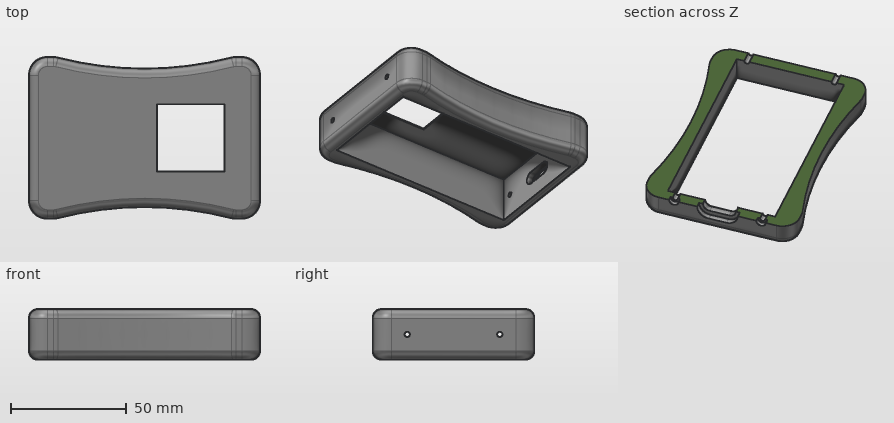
import cadquery as cq
import math

length = 100.0
width = 70.0
height = 22.0
corner_radius = 8.0
rim_radius = 4.0

waist_depth = 5.0
waist_radius = 150.0
waist_blend_radius = 8.0

cavity_length = 89.0
cavity_width = 49.0
top_thickness = 0.5

window_size = 29.0
window_x = 20.0

slot_length = 15.0
slot_height = 6.0
recess_length = 18.5
recess_height = 10.5
recess_depth = 2.5

screw_spacing = 40.0
screw_diameter = 2.2
head_diameter = 4.2
head_depth = 2.0

waist_half_length = math.sqrt(waist_radius**2 - (waist_radius - waist_depth) ** 2)

wall_thickness = (length - cavity_length) / 2


def make_body():
    """Waisted block with rounded corners, blended grips and rounded rims."""
    x = length / 2
    y = width / 2
    waist_y = y - waist_depth
    block = (
        cq.Workplane("XY", origin=(0, 0, -height / 2))
        .moveTo(-x, -y)
        .lineTo(-waist_half_length, -y)
        .threePointArc((0, -waist_y), (waist_half_length, -y))
        .lineTo(x, -y)
        .lineTo(x, y)
        .lineTo(waist_half_length, y)
        .threePointArc((0, waist_y), (-waist_half_length, y))
        .lineTo(-x, y)
        .close()
        .extrude(height)
    )
    block = block.edges("(<X or >X) and |Z").fillet(corner_radius)
    for side in (-1, 1):
        for end in (-1, 1):
            crease = cq.selectors.NearestToPointSelector((end * waist_half_length, side * y, 0))
            block = block.edges(crease).fillet(waist_blend_radius)
    return block.faces("<Z or >Z").edges().fillet(rim_radius)


def make_cavity():
    """Rectangular hollow that leaves only the thin top plate and the walls."""
    bottom = cq.Workplane("XY", origin=(0, 0, -height / 2))
    return bottom.rect(cavity_length, cavity_width).extrude(height - top_thickness)


def make_window():
    """Square opening through the top plate."""
    middle = cq.Workplane("XY", origin=(window_x, 0, 0))
    return middle.rect(window_size, window_size).extrude(height / 2)


def make_connector_slot():
    """Stepped round-ended slot through the -X wall."""
    outside = cq.Workplane("YZ", origin=(-length / 2, 0, 0))
    slot = outside.slot2D(slot_length, slot_height).extrude(wall_thickness)
    recess = outside.slot2D(recess_length, recess_height).extrude(recess_depth)
    return slot.union(recess)


def make_screw_holes():
    """Screw holes running along X, with head counterbores in the -X end face."""
    centres = [(-screw_spacing / 2, 0), (screw_spacing / 2, 0)]
    start = cq.Workplane("YZ", origin=(-length / 2, 0, 0)).pushPoints(centres)
    holes = start.circle(screw_diameter / 2).extrude(length)
    heads = start.circle(head_diameter / 2).extrude(head_depth)
    return holes.union(heads)


result = (
    make_body()
    .cut(make_cavity())
    .cut(make_window())
    .cut(make_connector_slot())
    .cut(make_screw_holes())
)